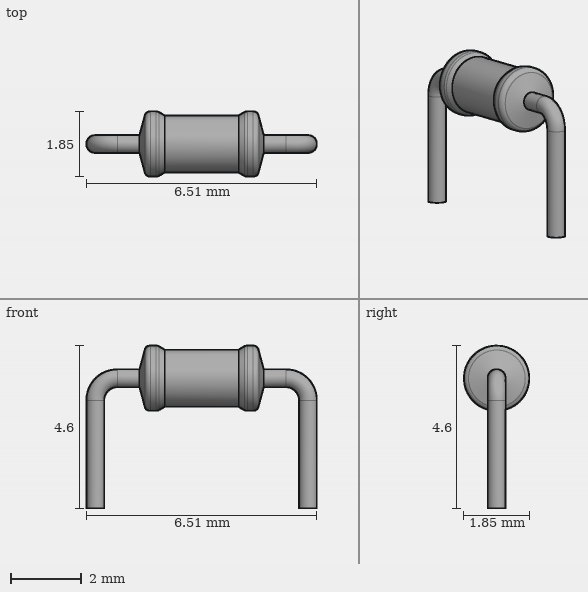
import cadquery as cq
import math

wire_diameter = 0.51
lead_pitch = 6.0
bend_radius = 0.62
leg_end_z = -3.675

barrel_diameter = 1.62
cap_diameter = 1.85
body_length = 3.51
rim_width = 0.16
rounding_radius = 0.166
end_cone_angle = math.radians(75)
flare_angle = math.radians(30)

wire_radius = wire_diameter / 2
barrel_radius = barrel_diameter / 2
cap_radius = cap_diameter / 2
half_pitch = lead_pitch / 2
half_length = body_length / 2
rounding_center_r = cap_radius - rounding_radius


def rounding_point(center_x, side, angle):
    """Point on a rim rounding, turned by angle from its crest toward -X or +X (side -1 or 1)."""
    return (
        center_x + side * rounding_radius * math.sin(angle),
        rounding_center_r + rounding_radius * math.cos(angle),
    )


def make_body():
    """Barrel with a flared, domed cap at each end."""
    cone_start = (-half_length, wire_radius)
    cone_end_r = rounding_point(0, -1, end_cone_angle)[1]
    cone_end_x = -half_length + (cone_end_r - wire_radius) / math.tan(end_cone_angle)
    rim_outer_x = cone_end_x + rounding_radius * math.sin(end_cone_angle)
    rim_inner_x = rim_outer_x + rim_width
    flare_start = rounding_point(rim_inner_x, 1, flare_angle)
    flare_end_x = flare_start[0] + (flare_start[1] - barrel_radius) / math.tan(flare_angle)

    half_body = (
        cq.Workplane("XY")
        .moveTo(-half_length, 0)
        .lineTo(*cone_start)
        .lineTo(cone_end_x, cone_end_r)
        .threePointArc(
            rounding_point(rim_outer_x, -1, end_cone_angle / 2),
            (rim_outer_x, cap_radius),
        )
        .lineTo(rim_inner_x, cap_radius)
        .threePointArc(rounding_point(rim_inner_x, 1, flare_angle / 2), flare_start)
        .lineTo(flare_end_x, barrel_radius)
        .lineTo(0, barrel_radius)
        .lineTo(0, 0)
        .close()
        .revolve(360, (0, 0, 0), (1, 0, 0))
    )
    return half_body.union(half_body.mirror("YZ"))


def make_lead():
    """The -X wire: a vertical leg, a quarter bend and a straight run into the body center."""
    bend_mid_offset = bend_radius * math.sin(math.radians(45))
    bend_center = (-half_pitch + bend_radius, -bend_radius)
    path = (
        cq.Workplane("XZ")
        .moveTo(-half_pitch, leg_end_z)
        .lineTo(-half_pitch, -bend_radius)
        .threePointArc(
            (bend_center[0] - bend_mid_offset, bend_center[1] + bend_mid_offset),
            (bend_center[0], 0),
        )
        .lineTo(0, 0)
    )
    return (
        cq.Workplane("XY", origin=(-half_pitch, 0, leg_end_z))
        .circle(wire_radius)
        .sweep(path)
    )


lead = make_lead()
result = make_body().union(lead).union(lead.mirror("YZ")).clean()